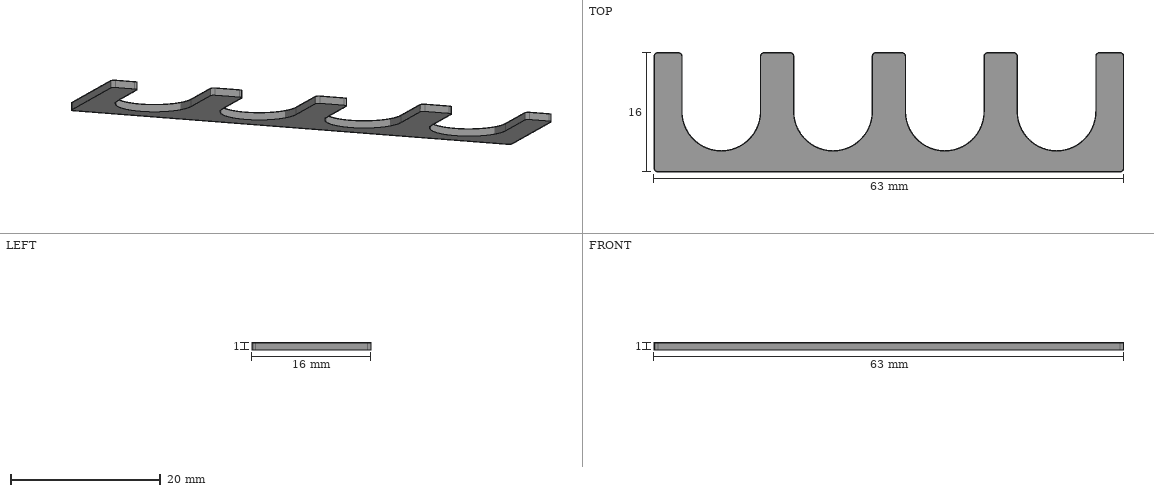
import cadquery as cq

length = 63.0
width = 16.0
thickness = 1.0
corner_radius = 0.5

slot_count = 4
slot_pitch = 15.0
slot_width = 10.5
slot_floor = 2.85

slot_radius = slot_width / 2
slot_center_y = -width / 2 + slot_floor + slot_radius
slot_straight = width / 2 - slot_center_y


def slot_cutter(center_x):
    """U-shaped cutter: a full-round bottom below a straight-sided opening."""
    round_bottom = (
        cq.Workplane("XY")
        .center(center_x, slot_center_y)
        .circle(slot_radius)
        .extrude(thickness)
    )
    opening = (
        cq.Workplane("XY")
        .center(center_x, slot_center_y + slot_straight / 2)
        .rect(slot_width, slot_straight)
        .extrude(thickness)
    )
    return round_bottom.union(opening)


plate = cq.Workplane("XY").rect(length, width).extrude(thickness)
for index in range(slot_count):
    plate = plate.cut(slot_cutter((index - (slot_count - 1) / 2) * slot_pitch))

outer_edges = plate.faces("<Y or >Y").edges("|Z")
result = outer_edges.fillet(corner_radius)